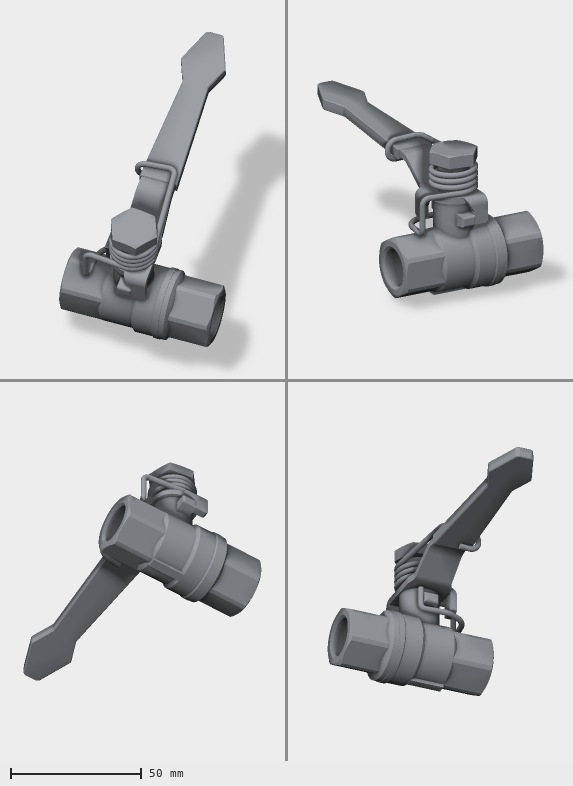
import cadquery as cq
import math

overall_length = 115.5
left_end = -26.6
right_end = 33.5
hex_flats = 22.0
hex_corner_radius = 12.2
end_face_radius = 10.7
end_chamfer_length = 0.8
bore_diameter = 14.9
bore_mouth_diameter = 16.9
bore_depth = 13.9

body_start = -9.5
body_radius = 12.4
body_end = 2.8
cap_start = 4.2
cap_radius = 27.0 / 2
collar_start = 11.8
collar_step = 14.1
collar_end = 16.2
collar_radius = 28.0 / 2
collar_rim_radius = 27.5 / 2
collar_lead = 0.5
blend_root_radius = 11.0
left_blend_length = 1.6
right_blend_length = 1.8

pad_width = 3.5
pad_bottom = -13.6

stem_radius = 15.5 / 2
stem_fillet = 0.7
plate_bottom = 24.6
sheet_thickness = 2.7
plate_top = plate_bottom + sheet_thickness
neck_radius = 12.0 / 2
nut_bottom = 39.3
nut_top = 44.2
nut_corner_diameter = 19.6
nut_turn = -8.0
nut_face_radius = 8.2
nut_bevel_height = 0.5

lug_reach = 12.7
lug_width = 5.8
lug_top = 20.3
lug_tip_bottom = 16.3
lug_root_bottom = 14.5
lug_rounding = 0.9

flap_outer = 12.1
flap_bottom = 16.4
flap_near_edge = 2.7
flap_far_edge = 8.4
flap_slant_bottom = 21.5
flap_slant_run = 3.5
flap_corner = 0.9
flap_bend_radius = 3.1
plate_corner_radius = 9.2
plate_shoulder = (-8.9, 10.6)

lever_root_width = 15.0
lever_tip_width = 13.2
lever_bend_start = 13.4
lever_bend_end = 25.4
lever_rise = 7.2
lower_bend_radius = 4.0
upper_bend_radius = 6.9
bend_search_span = 1.2
lever_end = 34.6
grip_tilt = 2.0

grip_start = 30.5
grip_shoulder = 76.9
grip_widest = 86.6
grip_start_half = 7.5
grip_shoulder_half = 5.2
grip_widest_half = 9.0
grip_tip_half = 3.3
grip_thickness = 4.5
grip_corner_radius = 1.7
grip_edge_break = 0.3
grip_start_middle = 32.8
grip_tip_overhang = (grip_thickness / 2 - grip_edge_break) * math.sin(math.radians(grip_tilt))
grip_tip = overall_length - collar_radius - grip_tip_overhang

wire_radius = 2.2 / 2
coil_radius = 8.4
coil_pitch = 2.5
coil_bottom = 28.8
lower_angle = -96.0
upper_angle = 5.0
full_turns = 3
coil_height = coil_pitch * (full_turns + (upper_angle - lower_angle) / 360)
coil_top = coil_bottom + coil_height
wire_bend_radius = 2.8
lower_leg_length = 16.4
lower_leg_z = 13.9
lower_leg_side_run = 13.9
lower_leg_side_bend = 8.1
lower_leg_back_corner = (-7.5, 11.1)
lower_leg_back_bend = 6.9
pin_bend = 1.7
pin_bite = 0.2
pin_y = 10.4
pin_top = 22.7
upper_leg_length = 35.2
hook_run = 11.2
hook_radius = 3.8
hook_height = 7.7
hook_end_run = 4.0
shortest_straight = 0.01


def revolve_x(profile):
    """Solid of revolution about X from (x, radius) points, closed along the axis."""
    axis_points = [(profile[-1][0], 0), (profile[0][0], 0)]
    return cq.Workplane("XY").polyline(profile + axis_points).close().revolve(360, (0, 0, 0), (1, 0, 0))


def hex_pipe():
    """Hexagonal bar along X with rounded corners and chamfered ends."""
    bar = (
        cq.Workplane("YZ")
        .workplane(offset=left_end)
        .polygon(6, hex_flats / math.cos(math.radians(30)))
        .extrude(right_end - left_end)
        .rotate((0, 0, 0), (1, 0, 0), 30)
    )
    envelope = revolve_x([
        (left_end, end_face_radius),
        (left_end + end_chamfer_length, hex_corner_radius),
        (right_end - end_chamfer_length, hex_corner_radius),
        (right_end, end_face_radius),
    ])
    return bar.intersect(envelope)


def round_body():
    """Turned middle of the valve with its cap, collar and sloped blends."""
    return revolve_x([
        (body_start - left_blend_length, blend_root_radius),
        (body_start, body_radius),
        (body_end, body_radius),
        (cap_start, cap_radius),
        (collar_start - collar_lead, cap_radius),
        (collar_start, collar_radius),
        (collar_step, collar_radius),
        (collar_step, collar_rim_radius),
        (collar_end, collar_rim_radius),
        (collar_end + right_blend_length, blend_root_radius),
    ])


def bottom_pad():
    """Narrow raised pad under the round body."""
    return (
        cq.Workplane("XY")
        .workplane(offset=pad_bottom)
        .center((body_start + cap_start) / 2, 0)
        .rect(cap_start - body_start, pad_width)
        .extrude(body_radius / 2)
    )


def bore(end, inward):
    """Blind bore with a chamfered mouth, cut from one end of the pipe."""
    chamfer = (bore_mouth_diameter - bore_diameter) / 2
    return revolve_x([
        (end, bore_mouth_diameter / 2),
        (end + inward * chamfer, bore_diameter / 2),
        (end + inward * bore_depth, bore_diameter / 2),
    ])


def body_with_stem():
    """Valve body with the stem column blended into it."""
    column = cq.Workplane("XY").circle(stem_radius).extrude(plate_bottom)
    joined = hex_pipe().union(round_body()).union(column)
    reach = stem_radius + stem_fillet
    root = cq.selectors.BoxSelector(
        (-reach, -reach, neck_radius), (reach, reach, collar_radius), boundingbox=True
    )
    return joined.edges(root).fillet(stem_fillet)


def gland():
    """Narrow neck above the stem and the bevelled hexagonal gland nut."""
    neck = cq.Workplane("XY").circle(neck_radius).extrude(nut_bottom)
    nut = (
        cq.Workplane("XY")
        .workplane(offset=nut_bottom)
        .polygon(6, nut_corner_diameter)
        .extrude(nut_top - nut_bottom)
        .rotate((0, 0, 0), (0, 0, 1), nut_turn)
    )
    corner_radius = nut_corner_diameter / 2
    bevel = (
        cq.Workplane("XZ")
        .polyline([
            (0, nut_bottom),
            (corner_radius, nut_bottom),
            (corner_radius, nut_top - nut_bevel_height),
            (nut_face_radius, nut_top),
            (0, nut_top),
        ])
        .close()
        .revolve(360, (0, 0, 0), (0, 1, 0))
    )
    return neck.union(nut.intersect(bevel))


def stop_lugs():
    """Pair of stop lugs on the front and back of the stem, sloped underneath."""
    return (
        cq.Workplane("YZ")
        .polyline([
            (-lug_reach, lug_top),
            (lug_reach, lug_top),
            (lug_reach, lug_tip_bottom),
            (0, lug_root_bottom),
            (-lug_reach, lug_tip_bottom),
        ])
        .close()
        .extrude(lug_width / 2, both=True)
        .faces("<Y or >Y")
        .edges()
        .fillet(lug_rounding)
    )


def front_flap():
    """Stop flap bent down from the front edge of the plate."""
    bent_strip = (
        cq.Workplane("YZ")
        .polyline([
            (0, plate_top),
            (-flap_outer, plate_top),
            (-flap_outer, flap_bottom),
            (sheet_thickness - flap_outer, flap_bottom),
            (sheet_thickness - flap_outer, plate_bottom),
            (0, plate_bottom),
        ])
        .close()
        .extrude(flap_far_edge, both=True)
        .edges("|X and <Y and >Z")
        .fillet(flap_bend_radius)
    )
    face_outline = (
        cq.Workplane("XZ")
        .polyline([
            (flap_near_edge - flap_slant_run, plate_top),
            (flap_far_edge, plate_top),
            (flap_far_edge, flap_bottom),
            (flap_near_edge, flap_bottom),
            (flap_near_edge, flap_slant_bottom),
        ])
        .close()
        .extrude(flap_outer)
        .edges("|Y and <Z and >X")
        .chamfer(flap_corner)
    )
    return bent_strip.intersect(face_outline)


def flaps():
    """Front flap and its mirror image across the X = Y diagonal on the left side."""
    front = front_flap()
    left = front.mirror("XZ").rotate((0, 0, 0), (0, 0, 1), 90)
    return front.union(left)


def plate():
    """Flat part of the lever around the neck, round at the gap between the flaps."""
    inner = flap_outer - flap_bend_radius
    diagonal = plate_corner_radius * math.sqrt(0.5)
    return (
        cq.Workplane("XY")
        .workplane(offset=plate_bottom)
        .moveTo(0, -inner)
        .lineTo(flap_far_edge, -inner)
        .lineTo(flap_far_edge, flap_far_edge)
        .lineTo(lever_root_width / 2, flap_outer)
        .lineTo(-lever_root_width / 2, flap_outer)
        .threePointArc(plate_shoulder, (-inner, flap_far_edge))
        .lineTo(-inner, 0)
        .lineTo(-plate_corner_radius, 0)
        .threePointArc((-diagonal, -diagonal), (0, -plate_corner_radius))
        .close()
        .extrude(sheet_thickness)
    )


def lever_arm():
    """Tapered strip that steps up from the plate to the grip."""
    slope = math.tan(math.radians(grip_tilt))
    bend_z = plate_bottom + lever_rise
    end_z = bend_z + slope * (lever_end - lever_bend_end)
    side = (
        cq.Workplane("YZ")
        .moveTo(0, plate_bottom)
        .lineTo(lever_bend_start, plate_bottom)
        .lineTo(lever_bend_end, bend_z)
        .lineTo(lever_end, end_z)
        .lineTo(lever_end, end_z + sheet_thickness)
        .lineTo(lever_bend_end, bend_z + sheet_thickness)
        .lineTo(lever_bend_start, plate_top)
        .lineTo(0, plate_top)
        .close()
        .extrude(lever_root_width, both=True)
    )
    for bend_y, radius in ((lever_bend_start, lower_bend_radius), (lever_bend_end, upper_bend_radius)):
        middle = (0, bend_y, plate_top)
        span = (2 * lever_root_width, bend_search_span, nut_top)
        bend_edges = cq.selectors.BoxSelector(
            [m - d / 2 for m, d in zip(middle, span)], [m + d / 2 for m, d in zip(middle, span)]
        )
        side = side.edges(bend_edges).fillet(radius)
    outline = (
        cq.Workplane("XY")
        .polyline([
            (-lever_root_width / 2, 0),
            (lever_root_width / 2, 0),
            (lever_root_width / 2, flap_outer),
            (lever_tip_width / 2, lever_end),
            (-lever_tip_width / 2, lever_end),
            (-lever_root_width / 2, flap_outer),
        ])
        .close()
        .extrude(nut_top)
    )
    return side.intersect(outline)


def grip():
    """Arrow-ended sleeve, tilted slightly upwards toward its tip."""
    length_stretch = 1 / math.cos(math.radians(grip_tilt))
    right_half = [
        (grip_start_half, 0),
        (grip_shoulder_half, (grip_shoulder - grip_start) * length_stretch),
        (grip_widest_half, (grip_widest - grip_start) * length_stretch),
        (grip_tip_half, (grip_tip - grip_start) * length_stretch),
    ]
    left_half = [(-x, y) for x, y in reversed(right_half)]
    sleeve = (
        cq.Workplane("XY")
        .polyline(right_half + left_half)
        .close()
        .extrude(grip_thickness / 2, both=True)
        .edges("|Z and (not <Y)")
        .fillet(grip_corner_radius)
        .faces("<Z or >Z")
        .edges()
        .chamfer(grip_edge_break)
    )
    return sleeve.rotate((0, 0, 0), (1, 0, 0), grip_tilt).translate((0, grip_start, grip_start_middle))


def rounded_path(points, radii):
    """Wire through the points, with an arc of the given radius at each inner corner."""
    edges = []
    start = points[0]
    for before, corner, after, radius in zip(points, points[1:], points[2:], radii):
        incoming = (before - corner).normalized()
        outgoing = (after - corner).normalized()
        half_angle = incoming.getAngle(outgoing) / 2
        setback = radius / math.tan(half_angle)
        bisector = (incoming + outgoing).normalized()
        arc_start = corner + incoming * setback
        arc_end = corner + outgoing * setback
        arc_middle = corner + bisector * (radius / math.sin(half_angle) - radius)
        if (arc_start - start).Length > shortest_straight:
            edges.append(cq.Edge.makeLine(start, arc_start))
        edges.append(cq.Edge.makeThreePointArc(arc_start, arc_middle, arc_end))
        start = arc_end
    edges.append(cq.Edge.makeLine(start, points[-1]))
    return cq.Wire.assembleEdges(edges)


def bent_wire(points, radii):
    """Round wire swept along a path with rounded corners."""
    direction = points[1] - points[0]
    section = cq.Workplane(cq.Plane(points[0], normal=direction)).circle(wire_radius)
    return section.sweep(rounded_path(points, radii))


def coil_point(angle, z):
    """Point on the coil centreline and the direction of the coil there, turning left."""
    turn = math.radians(angle)
    point = cq.Vector(coil_radius * math.cos(turn), coil_radius * math.sin(turn), z)
    direction = cq.Vector(-math.sin(turn), math.cos(turn), 0)
    return point, direction


def coil():
    """Helical turns of the spring around the neck."""
    helix = cq.Wire.makeHelix(coil_pitch, coil_height, coil_radius)
    start_plane = cq.Plane((coil_radius, 0, 0), xDir=(1, 0, 0), normal=(0, 1, 0))
    return (
        cq.Workplane(start_plane)
        .circle(wire_radius)
        .sweep(cq.Workplane(helix), isFrenet=True)
        .rotate((0, 0, 0), (0, 0, 1), lower_angle)
        .translate((0, 0, coil_bottom))
    )


def lower_leg():
    """Leg that drops beside the stem, passes behind it and ends in a pin at the rear lug."""
    start, turning = coil_point(lower_angle, coil_bottom)
    outward = turning * -1
    across = cq.Vector(outward.y, -outward.x, 0)
    top_corner = start + outward * lower_leg_length
    low_corner = cq.Vector(top_corner.x, top_corner.y, lower_leg_z)
    pin_x = lug_width / 2 + wire_radius - pin_bite
    pin_foot = cq.Vector(pin_x, pin_y, lower_leg_z)
    side_corner = low_corner + across * lower_leg_side_run
    back_corner = cq.Vector(*lower_leg_back_corner, lower_leg_z)
    path = [start, top_corner, low_corner, side_corner, back_corner, pin_foot]
    path.append(cq.Vector(pin_x, pin_y, pin_top))
    bends = [wire_bend_radius, wire_bend_radius, lower_leg_side_bend, lower_leg_back_bend, pin_bend]
    return bent_wire(path, bends)


def upper_leg():
    """Leg that runs along the lever and hooks around the side of the grip."""
    start, outward = coil_point(upper_angle, coil_top)
    across = cq.Vector(-outward.y, outward.x, 0)
    corner = start + outward * upper_leg_length
    hook_top = corner + across * (hook_run + hook_radius)
    hook_bottom = hook_top - cq.Vector(0, 0, hook_height)
    hook_end = hook_bottom - across * (hook_radius + hook_end_run)
    path = [start, corner, hook_top, hook_bottom, hook_end]
    return bent_wire(path, [wire_bend_radius, hook_radius, hook_radius])


body = body_with_stem().union(bottom_pad()).union(gland()).union(stop_lugs())
body = body.cut(bore(left_end, 1)).cut(bore(right_end, -1))
lever = plate().union(flaps()).union(lever_arm()).union(grip())
spring = coil().union(lower_leg()).union(upper_leg())
result = body.union(lever).union(spring)